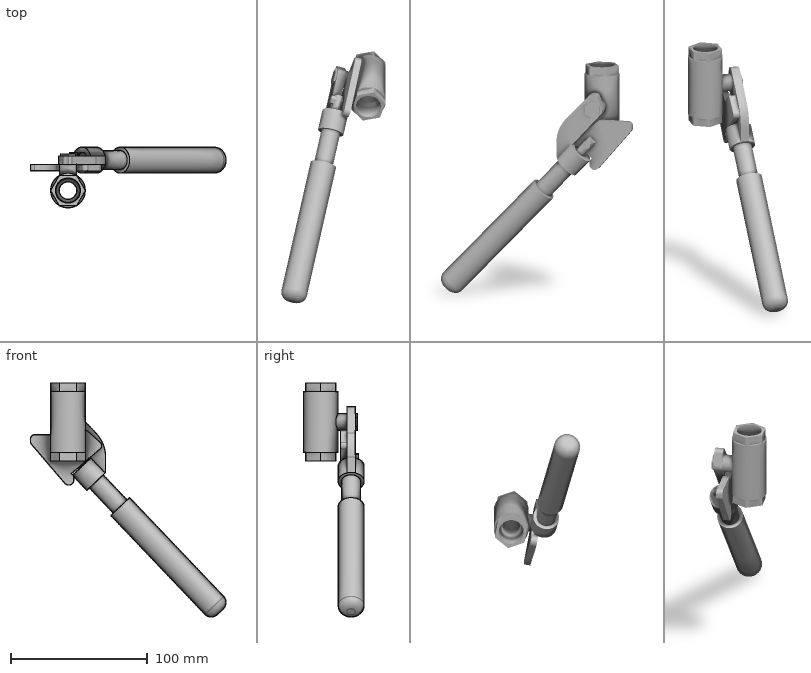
import cadquery as cq
import math


body_diameter = 25.4
valve_length = 57.15
hex_length = 6.35
port_mouth_diameter = 18.3
port_floor_diameter = 17.48
port_depth = 12.0
port_cone_angle = math.radians(118)
flow_diameter = 12.7
stem_diameter = 12.7
stem_end_height = 1.5
hex_sides = 6

handle_angle = math.radians(46.4)
handle_offset = -15.0
cos_handle = math.cos(handle_angle)
sin_handle = math.sin(handle_angle)

lever_front = 19.05
lever_thickness = 6.35
lever_back = lever_front + lever_thickness
lever_top = 11.4
lever_shoulder_x = -2.9
lever_heel_x = -7.63
lever_heel_z = -1.6
lever_side_x = 27.6
lever_outer_offset = 9.25
lever_root_offset = -7.6
lever_corner_radius = 3.175
lever_heel_radius = 4.0
lever_bend_radius = 25.4

handle_y = lever_front + lever_thickness / 2
collar_start = 30.5
collar_length = 15.24
collar_diameter = 19.05
collar_bore_diameter = 11.22
collar_bore_depth = 1.6
rod_length = 25.4
rod_diameter = 13.97
grip_length = 106.2
grip_diameter = collar_diameter
grip_end_radius = 6.35
pin_start = 17.8
pin_diameter = 6.35
cross_screw_along = 21.8
cross_screw_diameter = 6.35
cross_screw_end = 27.7
collar_end = collar_start + collar_length
collar_bore_floor = collar_start + collar_bore_depth
grip_start = collar_end + rod_length

stop_thickness = 4.76
stop_left = -27.51
stop_top = -9.3
stop_tip_x = 4.35
stop_left_top = (stop_left, stop_top)
stop_left_bottom = (stop_left, -15.45)
stop_notch_edge = (-2.6, stop_top)
stop_notch_floor = (2.2, -13.6)
stop_peak = (12.4, -4.9)
stop_right = (26.2, -17.4)
stop_collar_corner = (2.43, -37.8)
stop_collar_lip = (stop_tip_x, -39.4)
stop_tip = (stop_tip_x, -52.75)
stop_corner_radius = 3.175
stop_tip_radius = 3.81


def on_handle(along, offset):
    """X and Z of the point at a distance along the handle direction and an offset square to it."""
    x = along * cos_handle + offset * sin_handle
    z = -along * sin_handle + offset * cos_handle
    return x, z


def handle_cylinder(start, length, diameter):
    """Cylinder on the handle axis."""
    x, z = on_handle(start, handle_offset)
    plane = cq.Plane(origin=(x, handle_y, z), xDir=(0, 1, 0), normal=(cos_handle, 0, -sin_handle))
    return cq.Workplane(plane).circle(diameter / 2).extrude(length)


def plate(outline, front, thickness):
    """Flat plate with the given XZ outline, running back from the Y of its front face."""
    return cq.Workplane("XZ", origin=(0, front, 0)).polyline(outline).close().extrude(-thickness)


def round_corner(solid, corner, radius):
    """Round the edge along Y that lies nearest to the given XZ corner of a plate."""
    x, z = corner
    edge = cq.selectors.NearestToPointSelector((x, solid.val().Center().y, z))
    return solid.edges("|Y").edges(edge).fillet(radius)


def make_passage():
    """Tapered port with a drill-point floor at each end, joined by the flow bore."""
    mouth_radius = port_mouth_diameter / 2
    floor_radius = port_floor_diameter / 2
    flow_radius = flow_diameter / 2
    mouth = valve_length / 2
    port_floor = mouth - port_depth
    cone_end = port_floor - (floor_radius - flow_radius) / math.tan(port_cone_angle / 2)
    profile = [
        (0, mouth),
        (mouth_radius, mouth),
        (floor_radius, port_floor),
        (flow_radius, cone_end),
        (flow_radius, -cone_end),
        (floor_radius, -port_floor),
        (mouth_radius, -mouth),
        (0, -mouth),
    ]
    return cq.Workplane("XZ").polyline(profile).close().revolve(360, (0, 0, 0), (0, 1, 0))


def make_valve():
    barrel_length = valve_length - 2 * hex_length
    hex_bar = cq.Workplane("XY").polygon(hex_sides, body_diameter).extrude(valve_length / 2, both=True)
    barrel = cq.Workplane("XY").circle(body_diameter / 2).extrude(barrel_length / 2, both=True)
    stem = cq.Workplane("XZ").circle(stem_diameter / 2).extrude(-lever_back)
    stem_end = (
        cq.Workplane("XZ", origin=(0, lever_back, 0))
        .transformed(rotate=(0, 0, 90))
        .polygon(hex_sides, stem_diameter)
        .extrude(-stem_end_height)
    )
    return hex_bar.union(barrel).union(stem).union(stem_end).cut(make_passage())


def make_lever():
    """Plate from the stem to the collar, with a hole for the stem."""
    shoulder = (lever_shoulder_x, lever_top)
    top_right = ((lever_outer_offset - lever_top * cos_handle) / sin_handle, lever_top)
    bend = (lever_side_x, (lever_outer_offset - lever_side_x * sin_handle) / cos_handle)
    foot_offset = (lever_side_x - collar_end * cos_handle) / sin_handle
    foot = on_handle(collar_end, foot_offset)
    root = on_handle(collar_end, lever_root_offset)
    heel = (lever_heel_x, lever_heel_z)
    lever = plate([shoulder, top_right, bend, foot, root, heel], lever_front, lever_thickness)
    for corner in (shoulder, top_right):
        lever = round_corner(lever, corner, lever_corner_radius)
    lever = round_corner(lever, heel, lever_heel_radius)
    lever = round_corner(lever, bend, lever_bend_radius)
    return lever.cut(cq.Workplane("XZ").circle(stem_diameter / 2).extrude(-lever_back))


def make_stop_plate():
    """Plate against the front of the lever, notched below the stem."""
    outline = [
        stop_left_top,
        stop_notch_edge,
        stop_notch_floor,
        stop_peak,
        stop_right,
        stop_collar_corner,
        stop_collar_lip,
        stop_tip,
        stop_left_bottom,
    ]
    stop = plate(outline, lever_front - stop_thickness, stop_thickness)
    for corner in (stop_left_top, stop_left_bottom, stop_peak, stop_right):
        stop = round_corner(stop, corner, stop_corner_radius)
    return round_corner(stop, stop_tip, stop_tip_radius)


def make_grip():
    grip = handle_cylinder(grip_start, grip_length, grip_diameter)
    far_end = cq.selectors.DirectionMinMaxSelector(cq.Vector(cos_handle, 0, -sin_handle))
    return grip.faces(far_end).edges().fillet(grip_end_radius)


def make_cross_screw():
    """Hexagon across the pin, standing on the stop plate with two flats square to the handle."""
    x, z = on_handle(cross_screw_along, handle_offset)
    flat_turn = 180 / hex_sides - math.degrees(handle_angle)
    return (
        cq.Workplane("XZ", origin=(x, lever_front, z))
        .transformed(rotate=(0, 0, flat_turn))
        .polygon(hex_sides, cross_screw_diameter)
        .extrude(lever_front - cross_screw_end)
    )


def make_handle():
    collar = handle_cylinder(collar_start, collar_length, collar_diameter)
    collar_bore = handle_cylinder(collar_start, collar_bore_depth, collar_bore_diameter)
    rod = handle_cylinder(collar_end, rod_length, rod_diameter)
    pin = handle_cylinder(pin_start, collar_bore_floor - pin_start, pin_diameter)
    handle = make_lever().union(collar).cut(collar_bore)
    for piece in (rod, make_grip(), pin, make_cross_screw(), make_stop_plate()):
        handle = handle.union(piece)
    return handle


valve = make_valve()
handle = make_handle()
result = cq.Compound.makeCompound([valve.solids().val(), handle.solids().val()])